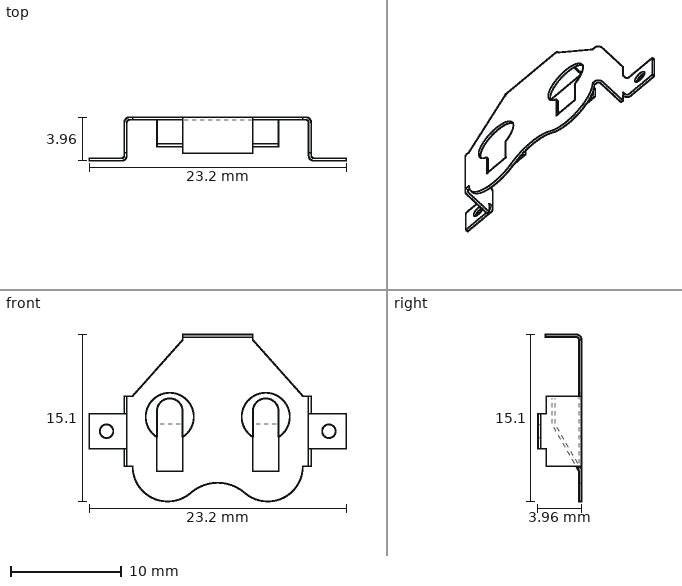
import cadquery as cq
import math


thickness = 0.25
inner_bend = 0.25
outer_bend = inner_bend + thickness
overall_depth = 3.96

plate_half_width = 7.69
top_z = 8.74
lobe_radius = 3.175
valley_radius = 3.7

flange_length = 6.35
flange_half_span = 8.44
flange_depth = 3.21
tab_half_span = 11.61
tab_height = flange_length / 2
tab_hole_diameter = 1.2
tab_hole_x = 10.03

lip_width = flange_length
lip_depth = 3.28

finger_x = 4.33
finger_width = 2.34
finger_depth = 2.68
finger_root_z = -3.61
finger_tip_z = 2.97
finger_angle = math.radians(30)
window_diameter = 4.32
window_z = 1.3

flange_top_z = flange_length / 2
flange_bottom_z = -flange_top_z
lip_bend_z = top_z - outer_bend
flange_bend_x = flange_half_span - outer_bend
tab_bend_x = flange_half_span + inner_bend
lobe_x = plate_half_width - lobe_radius
SIDES = (-1, 1)


def on_circle(center, radius, degrees):
    """Point on a circle at the given angle, in the sketch plane."""
    angle = math.radians(degrees)
    return (center[0] + radius * math.cos(angle), center[1] + radius * math.sin(angle))


def make_plate():
    """Flat plate: sloped shoulders, two round lobes and a tangent valley between them."""
    valley_z = flange_bottom_z - math.sqrt((lobe_radius + valley_radius) ** 2 - lobe_x**2)
    lobe_share = lobe_radius / (lobe_radius + valley_radius)
    tangent_x = lobe_x * (1 - lobe_share)
    tangent_z = flange_bottom_z + lobe_share * (valley_z - flange_bottom_z)
    lobe_low_z = flange_bottom_z - lobe_radius
    return (
        cq.Workplane("XZ")
        .moveTo(-lip_width / 2, lip_bend_z)
        .lineTo(lip_width / 2, lip_bend_z)
        .lineTo(plate_half_width, flange_top_z)
        .lineTo(plate_half_width, flange_bottom_z)
        .threePointArc((lobe_x, lobe_low_z), (tangent_x, tangent_z))
        .threePointArc((0, valley_z + valley_radius), (-tangent_x, tangent_z))
        .threePointArc((-lobe_x, lobe_low_z), (-plate_half_width, flange_bottom_z))
        .lineTo(-plate_half_width, flange_top_z)
        .close()
        .extrude(thickness)
    )


def make_lip():
    """Top lip bent forward from the plate, as a YZ section swept along X."""
    bend = (-outer_bend, lip_bend_z)
    return (
        cq.Workplane("YZ")
        .moveTo(0, lip_bend_z)
        .threePointArc(on_circle(bend, outer_bend, 45), (-outer_bend, top_z))
        .lineTo(-lip_depth, top_z)
        .lineTo(-lip_depth, top_z - thickness)
        .lineTo(-outer_bend, top_z - thickness)
        .threePointArc(on_circle(bend, inner_bend, 45), (-thickness, lip_bend_z))
        .close()
        .extrude(lip_width / 2, both=True)
    )


def make_front_zone(depth, height):
    """Block as wide as the part, reaching from Y = 0 to the given depth, centred on Z = 0."""
    return cq.Workplane("XZ").rect(2 * tab_half_span, height).extrude(depth)


def make_side_flange():
    """Right-hand flange bent forward, with a narrower tab bent outward at its end."""
    flange_bend = (flange_bend_x, -outer_bend)
    tab_bend = (tab_bend_x, outer_bend - overall_depth)
    inner_face_x = flange_half_span - thickness
    tab_back_y = thickness - overall_depth
    section = (
        cq.Workplane("XY")
        .moveTo(plate_half_width, 0)
        .lineTo(flange_bend_x, 0)
        .threePointArc(on_circle(flange_bend, outer_bend, 45), (flange_half_span, -outer_bend))
        .lineTo(flange_half_span, tab_bend[1])
        .threePointArc(on_circle(tab_bend, inner_bend, 225), (tab_bend_x, tab_back_y))
        .lineTo(tab_half_span, tab_back_y)
        .lineTo(tab_half_span, -overall_depth)
        .lineTo(tab_bend_x, -overall_depth)
        .threePointArc(on_circle(tab_bend, outer_bend, 225), (inner_face_x, tab_bend[1]))
        .lineTo(inner_face_x, -outer_bend)
        .threePointArc(on_circle(flange_bend, inner_bend, 45), (flange_bend_x, -thickness))
        .lineTo(plate_half_width, -thickness)
        .close()
    )
    strip = section.extrude(flange_length / 2, both=True)
    flange_zone = make_front_zone(flange_depth, flange_length)
    tab_zone = make_front_zone(overall_depth, tab_height)
    hole = (
        cq.Workplane("XZ")
        .center(tab_hole_x, 0)
        .circle(tab_hole_diameter / 2)
        .extrude(overall_depth)
    )
    return strip.intersect(flange_zone.union(tab_zone)).cut(hole)


def make_window(x):
    """Round window plus the slot left where the finger was bent out of the plate."""
    slot_height = window_z - finger_root_z
    circle = cq.Workplane("XZ").center(x, window_z).circle(window_diameter / 2).extrude(thickness)
    slot = (
        cq.Workplane("XZ")
        .center(x, finger_root_z + slot_height / 2)
        .rect(finger_width, slot_height)
        .extrude(thickness)
    )
    return circle.union(slot)


def make_finger(x):
    """Finger ramping forward from the slot root, then upright with a full-round tip."""
    root = (-thickness, finger_root_z)
    inner_y = thickness - finger_depth
    reach = -thickness - inner_y
    rise = (reach * math.cos(finger_angle) + thickness) / math.sin(finger_angle)
    knee = (inner_y, finger_root_z + rise)
    slant = math.degrees(finger_angle)
    section = (
        cq.Workplane("YZ")
        .moveTo(0, finger_root_z)
        .threePointArc(on_circle(root, thickness, slant / 2), on_circle(root, thickness, slant))
        .lineTo(*knee)
        .lineTo(inner_y, finger_tip_z)
        .lineTo(-finger_depth, finger_tip_z)
        .lineTo(-finger_depth, knee[1])
        .threePointArc(
            on_circle(knee, thickness, 180 + slant / 2), on_circle(knee, thickness, 180 + slant)
        )
        .lineTo(*root)
        .close()
    )
    half_width = finger_width / 2
    shoulder_z = finger_tip_z - half_width
    silhouette = (
        cq.Workplane("XZ")
        .moveTo(-half_width, finger_root_z)
        .lineTo(half_width, finger_root_z)
        .lineTo(half_width, shoulder_z)
        .threePointArc((0, finger_tip_z), (-half_width, shoulder_z))
        .close()
        .extrude(finger_depth)
    )
    return section.extrude(half_width, both=True).intersect(silhouette).translate((x, 0, 0))


right_flange = make_side_flange()
left_flange = right_flange.mirror("YZ")

holder = make_plate().union(make_lip()).union(right_flange).union(left_flange)
for side in SIDES:
    holder = holder.cut(make_window(side * finger_x))
    holder = holder.union(make_finger(side * finger_x))

result = holder.solids()